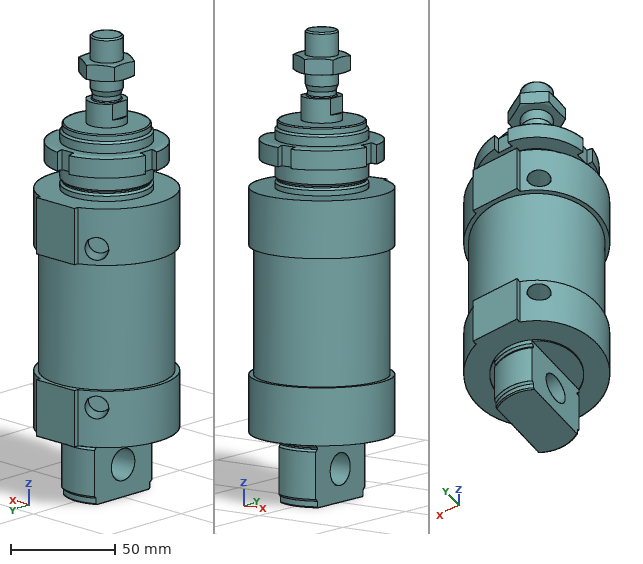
import cadquery as cq
import math

TOTAL_HEIGHT = 229.2
COLLAR_LENGTH = 33.0
CAP_LENGTH = 28.2
ROD_LENGTH = 43.8
LOWER_CAP_Z = COLLAR_LENGTH
COLLAR_TOP_Z = TOTAL_HEIGHT - ROD_LENGTH
UPPER_CAP_TOP_Z = COLLAR_TOP_Z - COLLAR_LENGTH
UPPER_CAP_Z = UPPER_CAP_TOP_Z - CAP_LENGTH

CAP_DIAMETER = 70.0
TUBE_DIAMETER = 65.4
PAD_WIDTH = 25.6
PORT_DIAMETER = 11.4
PORT_DEPTH = 12.0
PORT_INSET = 8.2
PORT_ANGLE = 126.7

COLLAR_DIAMETER = 45.0
COLLAR_TIP_DIAMETER = 42.8
COLLAR_TIP_LENGTH = 3.3
TIP_CHAMFER = 0.6
COLLAR_TAPER = (COLLAR_DIAMETER - COLLAR_TIP_DIAMETER) / 2
GROOVE_FLOOR = 0.7
GROOVE_OFFSET = 2.6

TONGUE_THICKNESS = 22.0
SHOULDER_DISC_LENGTH = 0.8
TONGUE_LENGTH = COLLAR_LENGTH - SHOULDER_DISC_LENGTH
TONGUE_HOLE_DIAMETER = 16.0
TONGUE_HOLE_Z = 16.2

ROD_DIAMETER = 20.0
ROD_FLAT_WIDTH = 17.5
ROD_FLAT_LENGTH = 8.0
THREAD_DIAMETER = 16.0
THREAD_TIP_DIAMETER = 14.38
THREAD_LENGTH = 26.4
NECK_DIAMETER = 13.9
NECK_FOOT_DIAMETER = 14.95
NECK_LENGTH = 5.6
NECK_TAPER_LENGTH = 2.8

HEX_ACROSS_FLATS = 24.0
HEX_THICKNESS = 8.0
HEX_DROP = 12.0
NUT_CHAMFER_ANGLE = math.radians(15)

RING_DIAMETER = 60.0
RING_THICKNESS = 10.0
RING_DROP = 9.0
RING_FACE_DIAMETER = 55.4
RING_SLOT_COUNT = 4
RING_SLOT_WIDTH = 7.8
RING_SLOT_FLOOR_RADIUS = 26.5


def revolve_profile(points):
    """Turn (radius, z) points, closed on the axis, into a solid around Z."""
    return cq.Workplane("XZ").polyline(points).close().revolve(360, (0, 0), (0, 1))


def make_collar():
    """Collar standing on Z = 0, with a thread groove and a reduced tip."""
    radius = COLLAR_DIAMETER / 2
    tip_radius = COLLAR_TIP_DIAMETER / 2
    groove_floor_z = GROOVE_OFFSET + COLLAR_TAPER
    groove_end_z = groove_floor_z + GROOVE_FLOOR
    tip_z = COLLAR_LENGTH - COLLAR_TIP_LENGTH
    return revolve_profile([
        (0, 0),
        (radius, 0),
        (radius, GROOVE_OFFSET),
        (tip_radius, groove_floor_z),
        (tip_radius, groove_end_z),
        (radius, groove_end_z + COLLAR_TAPER),
        (radius, tip_z - COLLAR_TAPER),
        (tip_radius, tip_z),
        (tip_radius, COLLAR_LENGTH - TIP_CHAMFER),
        (tip_radius - TIP_CHAMFER, COLLAR_LENGTH),
        (0, COLLAR_LENGTH),
    ])


def make_clevis():
    """Downward collar cut to a flat tongue with a cross hole."""
    clevis = make_collar().rotate((0, 0, 0), (1, 0, 0), 180).translate((0, 0, COLLAR_LENGTH))
    for side in (-1, 1):
        offset = side * (TONGUE_THICKNESS + COLLAR_DIAMETER) / 2
        waste = cq.Workplane("XY").box(
            COLLAR_DIAMETER, COLLAR_DIAMETER, TONGUE_LENGTH, centered=(True, True, False)
        )
        clevis = clevis.cut(waste.translate((offset, 0, 0)))
    hole = (
        cq.Workplane("YZ").center(0, TONGUE_HOLE_Z)
        .circle(TONGUE_HOLE_DIAMETER / 2).extrude(TONGUE_THICKNESS, both=True)
    )
    return clevis.cut(hole)


def make_cap():
    """Round end cap standing on Z = 0, with a flat pad on +Y."""
    radius = CAP_DIAMETER / 2
    cap = cq.Workplane("XY").circle(radius).extrude(CAP_LENGTH)
    pad = cq.Workplane("XY").center(0, radius / 2).rect(PAD_WIDTH, radius).extrude(CAP_LENGTH)
    return cap.union(pad)


def make_port(height):
    """Blind port bored radially into a cap at the given height."""
    angle = math.radians(PORT_ANGLE)
    outward = cq.Vector(math.cos(angle), math.sin(angle), 0)
    floor_centre = outward * (CAP_DIAMETER / 2 - PORT_DEPTH) + cq.Vector(0, 0, height)
    port = cq.Solid.makeCylinder(PORT_DIAMETER / 2, CAP_DIAMETER, floor_centre, outward)
    return cq.Workplane(obj=port)


def make_housing():
    """Tube, both caps, upper collar and clevis as one solid, with a port in each cap."""
    body = (
        cq.Workplane("XY", origin=(0, 0, LOWER_CAP_Z))
        .circle(TUBE_DIAMETER / 2).extrude(UPPER_CAP_TOP_Z - LOWER_CAP_Z)
    )
    for cap_z in (LOWER_CAP_Z, UPPER_CAP_Z):
        body = body.union(make_cap().translate((0, 0, cap_z)))
    for port_z in (LOWER_CAP_Z + CAP_LENGTH - PORT_INSET, UPPER_CAP_Z + PORT_INSET):
        body = body.cut(make_port(port_z))
    collar = make_collar().translate((0, 0, UPPER_CAP_TOP_Z))
    return body.union(collar).union(make_clevis())


def make_rod():
    """Piston rod standing on the collar, with spanner flats and a threaded tip."""
    thread_z = TOTAL_HEIGHT - THREAD_LENGTH
    shoulder_z = thread_z - NECK_LENGTH
    tip_chamfer = (THREAD_DIAMETER - THREAD_TIP_DIAMETER) / 2
    foot_chamfer = (NECK_FOOT_DIAMETER - NECK_DIAMETER) / 2
    rod = revolve_profile([
        (0, COLLAR_TOP_Z),
        (ROD_DIAMETER / 2, COLLAR_TOP_Z),
        (ROD_DIAMETER / 2, shoulder_z),
        (NECK_FOOT_DIAMETER / 2, shoulder_z),
        (NECK_DIAMETER / 2, shoulder_z + foot_chamfer),
        (NECK_DIAMETER / 2, thread_z - NECK_TAPER_LENGTH),
        (THREAD_DIAMETER / 2, thread_z),
        (THREAD_DIAMETER / 2, TOTAL_HEIGHT - tip_chamfer),
        (THREAD_TIP_DIAMETER / 2, TOTAL_HEIGHT),
        (0, TOTAL_HEIGHT),
    ])
    for side in (-1, 1):
        offset = side * (ROD_FLAT_WIDTH + ROD_DIAMETER) / 2
        flat_z = shoulder_z - ROD_FLAT_LENGTH / 2
        waste = cq.Workplane("XY").box(ROD_DIAMETER, ROD_DIAMETER, ROD_FLAT_LENGTH)
        rod = rod.cut(waste.translate((offset, 0, flat_z)))
    return rod


def make_hex_nut():
    """Hexagon nut with corners on +-Y, chamfered on both faces."""
    flat_radius = HEX_ACROSS_FLATS / 2
    corner_radius = flat_radius / math.cos(math.pi / 6)
    chamfer_height = (corner_radius - flat_radius) * math.tan(NUT_CHAMFER_ANGLE)
    hexagon = (
        cq.Workplane("XY").polygon(6, 2 * corner_radius).extrude(HEX_THICKNESS)
        .rotate((0, 0, 0), (0, 0, 1), 30)
    )
    envelope = revolve_profile([
        (0, 0),
        (flat_radius, 0),
        (corner_radius, chamfer_height),
        (corner_radius, HEX_THICKNESS - chamfer_height),
        (flat_radius, HEX_THICKNESS),
        (0, HEX_THICKNESS),
    ])
    bore = cq.Workplane("XY").circle(THREAD_DIAMETER / 2).extrude(HEX_THICKNESS)
    nut = hexagon.intersect(envelope).cut(bore)
    return nut.translate((0, 0, TOTAL_HEIGHT - HEX_DROP - HEX_THICKNESS))


def make_ring_nut():
    """Round nut with spanner slots in its rim and a chamfered top face."""
    radius = RING_DIAMETER / 2
    face_radius = RING_FACE_DIAMETER / 2
    chamfer_height = (radius - face_radius) * math.tan(NUT_CHAMFER_ANGLE)
    ring = revolve_profile([
        (0, 0),
        (radius, 0),
        (radius, RING_THICKNESS - chamfer_height),
        (face_radius, RING_THICKNESS),
        (0, RING_THICKNESS),
    ])
    slot = (
        cq.Workplane("XY").center(RING_SLOT_FLOOR_RADIUS + radius / 2, 0)
        .rect(radius, RING_SLOT_WIDTH).extrude(RING_THICKNESS)
    )
    for index in range(RING_SLOT_COUNT):
        ring = ring.cut(slot.rotate((0, 0, 0), (0, 0, 1), index * 360 / RING_SLOT_COUNT))
    bore = cq.Workplane("XY").circle(COLLAR_DIAMETER / 2).extrude(RING_THICKNESS)
    return ring.cut(bore).translate((0, 0, COLLAR_TOP_Z - RING_DROP - RING_THICKNESS))


housing = make_housing()
rod = make_rod()
hex_nut = make_hex_nut()
ring_nut = make_ring_nut()

result = cq.Compound.makeCompound([housing.val(), rod.val(), hex_nut.val(), ring_nut.val()])